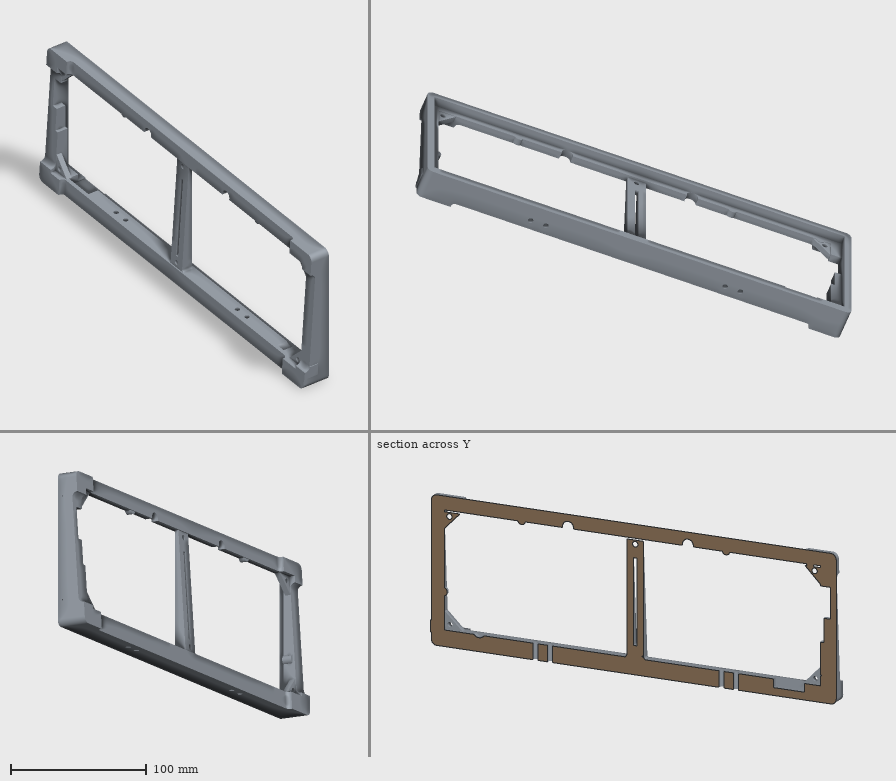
import cadquery as cq

TOTAL_LENGTH = 337.5
TAB_HEIGHT = 0.7
FRAME_LENGTH = TOTAL_LENGTH - TAB_HEIGHT
HEIGHT = 116.7
BOTTOM_DEPTH = 23.3
TOP_DEPTH = 15.5
LEAN = (BOTTOM_DEPTH - TOP_DEPTH) / HEIGHT
CORNER_RADIUS = 4.7

WINDOW_LEFT = 13.5
WINDOW_RIGHT = 325.5
WINDOW_BOTTOM = 13.0
WINDOW_TOP = 105.5

RABBET_DEPTH = 6.7
SIDE_WALL = 5.5
TOP_WALL = 5.7
BOTTOM_WALL = 7.5

RAIL_RECESS = 3.7
RAIL_RECESS_FILLET = 3.0
POST_RECESS = 4.5
POST_RECESS_FILLET = 4.0
PAD_LEFT_END = 25.0
PAD_RIGHT_START = 309.5
PAD_BOTTOM_END = 16.0
PAD_TOP_START = 100.5

SEAT_SETBACK = RAIL_RECESS + 1.0
BAR_CENTER = (PAD_LEFT_END + PAD_RIGHT_START) / 2
BAR_WIDTH = 14.5
BAR_BACK = 8.8
BAR_FOOT_RADIUS = 1.7
BAR_SLOT_WIDTH = 2.7
BAR_SLOT_BOTTOM = 23.0
BAR_SLOT_TOP = 90.5
GUSSET_LEG = 14.2
GUSSET_THICKNESS = 4.5

SCREW_RADIUS = 2.0
SCREW_LOW = 17.2
SCREW_HIGH = 101.2
SCREW_LEFT = 18.2
SCREW_RIGHT = 321.5
BLIND_HOLE_DEPTH = 2.7

NOTCH_TOP = 90.0
NOTCH_STEP = 65.8
NOTCH_BOTTOM = 47.0
NOTCH_SHALLOW_X = 10.5

ARCH_CENTERS = (123.5, 223.0)
ARCH_RADIUS = 4.5
ARCH_CENTER_Z = HEIGHT - TOP_WALL - ARCH_RADIUS

RIB_RADIUS = 3.5
RIB_HEIGHT = 2.5
RIB_SINK = RIB_RADIUS - RIB_HEIGHT
TOP_RIB_CENTERS = (22.0, 91.8, 261.5)
TOP_RIB_FRONT = 11.8
POST_RIB_Z = 42.5
POST_RIB_FRONT = 14.2

RAIL_HOLE_CENTERS = (83.3, 95.5, 238.0, 250.0)
RAIL_HOLE_RADIUS = 2.0
RAIL_HOLE_DEPTH = 12.5
POCKET_FRONT = 15.5
POCKET_LEFT = 27.0
POCKET_RIGHT = 52.3
POCKET_FLOOR = 6.5
DISH_CENTER = 297.0
DISH_WIDTH = 8.0
DISH_DROP = 2.0
DISH_RADIUS = (DISH_DROP**2 + (DISH_WIDTH / 2) ** 2) / (2 * DISH_DROP)

PIN_HOLE_HEIGHTS = (19.2, 98.2)
PIN_HOLE_DEPTH = 4.0
PIN_HOLE_RADIUS = 0.5

TAB_BOTTOM = 9.8
TAB_TOP = 19.2
TAB_BACK = 10.0


def front_depth(z, setback=0.0):
    """Depth at height z of a plane set back from the leaning front."""
    return BOTTOM_DEPTH - LEAN * z - setback


def box(x0, x1, depth0, depth1, z0, z1):
    size = (x1 - x0, depth1 - depth0, z1 - z0)
    return cq.Workplane("XY").box(*size, centered=False).translate((x0, -depth1, z0))


def y_cylinder(x, z, radius, depth0, depth1):
    return cq.Workplane("XZ", origin=(x, -depth0, z)).circle(radius).extrude(depth1 - depth0)


def wedge(length, setback=0.0):
    """Everything between the back and a plane set back from the leaning front."""
    profile = [
        (0, 0),
        (-front_depth(0, setback), 0),
        (-front_depth(HEIGHT, setback), HEIGHT),
        (0, HEIGHT),
    ]
    return cq.Workplane("YZ").polyline(profile).close().extrude(length)


def make_frame():
    """Outer frame with its side tab, window, rabbet and left-post notch."""
    frame = wedge(FRAME_LENGTH).edges("|Y").fillet(CORNER_RADIUS)
    right_wall = FRAME_LENGTH - SIDE_WALL
    tab = box(right_wall, TOTAL_LENGTH, TAB_BACK, BOTTOM_DEPTH, TAB_BOTTOM, TAB_TOP)
    frame = frame.union(tab.intersect(wedge(TOTAL_LENGTH)))
    rabbet_top = HEIGHT - TOP_WALL
    openings = (
        box(WINDOW_LEFT, WINDOW_RIGHT, 0, BOTTOM_DEPTH, WINDOW_BOTTOM, WINDOW_TOP),
        box(SIDE_WALL, right_wall, 0, RABBET_DEPTH, BOTTOM_WALL, rabbet_top),
        box(SIDE_WALL, WINDOW_LEFT, 0, BOTTOM_DEPTH, NOTCH_STEP, NOTCH_TOP),
        box(NOTCH_SHALLOW_X, WINDOW_LEFT, 0, BOTTOM_DEPTH, NOTCH_BOTTOM, NOTCH_STEP),
    )
    for opening in openings:
        frame = frame.cut(opening)
    return frame


def rail_recess():
    """Cutter that runs up the leaning front and lowers both rails between the pads."""
    up_the_front = cq.Plane(origin=(0, -BOTTOM_DEPTH, 0), xDir=(1, 0, 0), normal=(0, LEAN, 1))
    clearance = BOTTOM_DEPTH
    return (
        cq.Workplane(up_the_front)
        .center(BAR_CENTER, (RAIL_RECESS - clearance) / 2)
        .rect(PAD_RIGHT_START - PAD_LEFT_END, RAIL_RECESS + clearance)
        .extrude(2 * HEIGHT, both=True)
        .edges(cq.selectors.ParallelDirSelector(up_the_front.zDir))
        .fillet(RAIL_RECESS_FILLET)
    )


def post_recess():
    """Cutter that runs along x and lowers both posts between the pads."""
    clear_y = -2 * BOTTOM_DEPTH
    profile = [
        (-front_depth(PAD_BOTTOM_END, POST_RECESS), PAD_BOTTOM_END),
        (-front_depth(PAD_TOP_START, POST_RECESS), PAD_TOP_START),
        (clear_y, PAD_TOP_START),
        (clear_y, PAD_BOTTOM_END),
    ]
    cutter = cq.Workplane("YZ").polyline(profile).close().extrude(TOTAL_LENGTH)
    return cutter.edges("|X and (not <Y)").fillet(POST_RECESS_FILLET)


def make_bar():
    """Centre bar with flared feet on the bottom rail."""
    left = BAR_CENTER - BAR_WIDTH / 2
    right = BAR_CENTER + BAR_WIDTH / 2
    foot = BAR_FOOT_RADIUS
    outline = (
        cq.Workplane("XZ", origin=(0, -BAR_BACK, 0))
        .moveTo(left - foot, WINDOW_BOTTOM)
        .radiusArc((left, WINDOW_BOTTOM + foot), -foot)
        .lineTo(left, WINDOW_TOP)
        .lineTo(right, WINDOW_TOP)
        .lineTo(right, WINDOW_BOTTOM + foot)
        .radiusArc((right + foot, WINDOW_BOTTOM), -foot)
        .close()
        .extrude(BOTTOM_DEPTH)
    )
    return outline.intersect(wedge(FRAME_LENGTH, SEAT_SETBACK))


def gusset(x, z, x_leg, z_leg):
    """Triangular plate in the window corner at (x, z)."""
    outline = (
        cq.Workplane("XZ")
        .polyline([(x, z), (x + x_leg, z), (x, z + z_leg)])
        .close()
        .extrude(BOTTOM_DEPTH)
    )
    behind = wedge(FRAME_LENGTH, SEAT_SETBACK + GUSSET_THICKNESS)
    return outline.intersect(wedge(FRAME_LENGTH, SEAT_SETBACK)).cut(behind)


result = make_frame().cut(rail_recess()).cut(post_recess())

result = result.union(make_bar())
for corner_x, x_leg in ((WINDOW_LEFT, GUSSET_LEG), (WINDOW_RIGHT, -GUSSET_LEG)):
    for corner_z, z_leg in ((WINDOW_BOTTOM, GUSSET_LEG), (WINDOW_TOP, -GUSSET_LEG)):
        result = result.union(gusset(corner_x, corner_z, x_leg, z_leg))

for x in TOP_RIB_CENTERS:
    result = result.union(y_cylinder(x, WINDOW_TOP + RIB_SINK, RIB_RADIUS, RABBET_DEPTH, TOP_RIB_FRONT))
result = result.union(
    y_cylinder(WINDOW_RIGHT + RIB_SINK, POST_RIB_Z, RIB_RADIUS, RABBET_DEPTH, POST_RIB_FRONT)
)

through_holes = [(x, z) for x in (SCREW_LEFT, SCREW_RIGHT) for z in (SCREW_LOW, SCREW_HIGH)]
through_holes.append((BAR_CENTER, SCREW_HIGH))
for x, z in through_holes:
    result = result.cut(y_cylinder(x, z, SCREW_RADIUS, 0, BOTTOM_DEPTH))
blind_floor = front_depth(SCREW_LOW, SEAT_SETBACK) - BLIND_HOLE_DEPTH
result = result.cut(y_cylinder(BAR_CENTER, SCREW_LOW, SCREW_RADIUS, blind_floor, BOTTOM_DEPTH))

slot_left = BAR_CENTER - BAR_SLOT_WIDTH / 2
slot_right = BAR_CENTER + BAR_SLOT_WIDTH / 2
result = result.cut(box(slot_left, slot_right, 0, BOTTOM_DEPTH, BAR_SLOT_BOTTOM, BAR_SLOT_TOP))

for x in ARCH_CENTERS:
    result = result.cut(y_cylinder(x, ARCH_CENTER_Z, ARCH_RADIUS, 0, BOTTOM_DEPTH))
    result = result.cut(box(x - ARCH_RADIUS, x + ARCH_RADIUS, 0, BOTTOM_DEPTH, WINDOW_TOP, ARCH_CENTER_Z))

rail_holes = [(x, -RAIL_HOLE_DEPTH) for x in RAIL_HOLE_CENTERS]
result = result.cut(
    cq.Workplane("XY").pushPoints(rail_holes).circle(RAIL_HOLE_RADIUS).extrude(WINDOW_BOTTOM)
)
result = result.cut(box(POCKET_LEFT, POCKET_RIGHT, 0, POCKET_FRONT, POCKET_FLOOR, WINDOW_BOTTOM))
dish_z = WINDOW_BOTTOM - DISH_DROP + DISH_RADIUS
result = result.cut(y_cylinder(DISH_CENTER, dish_z, DISH_RADIUS, RABBET_DEPTH, POCKET_FRONT))

pin_holes = [(-PIN_HOLE_DEPTH, z) for z in PIN_HOLE_HEIGHTS]
result = result.cut(
    cq.Workplane("YZ").pushPoints(pin_holes).circle(PIN_HOLE_RADIUS).extrude(SIDE_WALL)
)